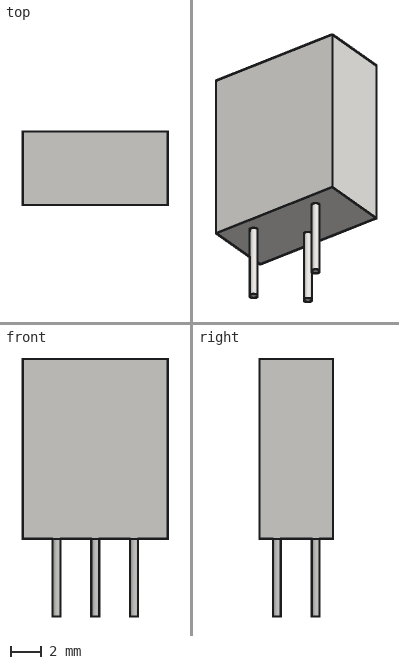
import cadquery as cq

housing_width = 9.53
housing_depth = 4.83
housing_height = 11.8

total_height = 16.9
lead_diameter = 0.54
lead_length = total_height - housing_height
lead_pitch = 2.54
lead_row_offset = lead_pitch / 2

lead_places = [
    (-lead_pitch, lead_row_offset),
    (0, -lead_row_offset),
    (lead_pitch, lead_row_offset),
]


def make_housing():
    """Rectangular block standing on the Z = 0 plane."""
    return cq.Workplane("XY").box(
        housing_width, housing_depth, housing_height, centered=(True, True, False)
    )


def make_lead(x, y):
    """Straight round lead hanging down from the housing's underside."""
    return cq.Workplane("XY").center(x, y).circle(lead_diameter / 2).extrude(-lead_length)


housing = make_housing()
leads = [make_lead(x, y) for x, y in lead_places]

result = cq.Compound.makeCompound([housing.val(), *[lead.val() for lead in leads]])